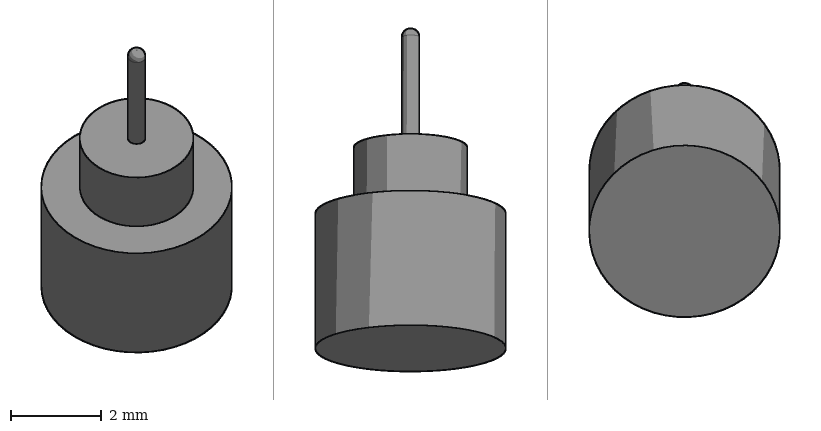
import cadquery as cq

total_height = 7.25
body_diameter = 4.2
body_height = 3.05
collar_diameter = 2.5
collar_height = 1.5
pin_diameter = 0.39
pin_tip_fillet = 0.19

pin_height = total_height - body_height - collar_height

body = (
    cq.Workplane("XY")
    .circle(body_diameter / 2)
    .extrude(body_height)
)

collar = (
    cq.Workplane("XY")
    .workplane(offset=body_height)
    .circle(collar_diameter / 2)
    .extrude(collar_height)
)

pin = (
    cq.Workplane("XY")
    .workplane(offset=body_height + collar_height)
    .circle(pin_diameter / 2)
    .extrude(pin_height)
    .faces(">Z")
    .edges()
    .fillet(pin_tip_fillet)
)

result = body.union(collar).union(pin)